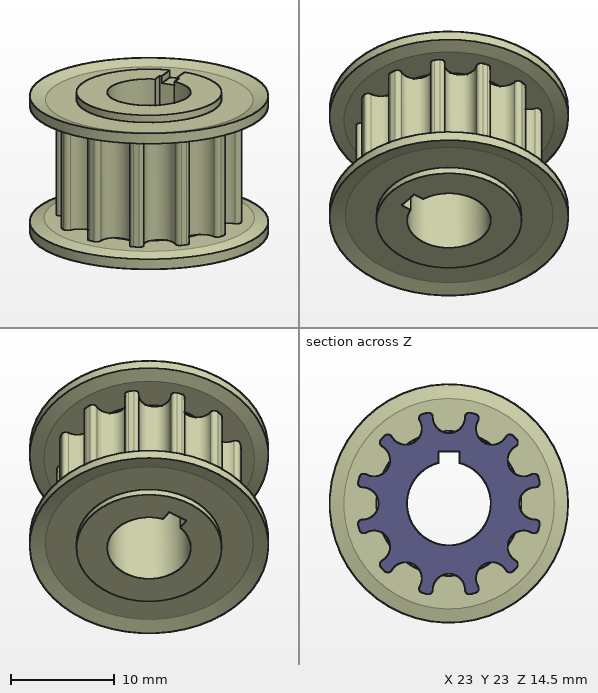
import cadquery as cq
import math

total_height = 14.5
flange_radius = 11.5
hub_radius = 7.0

belt_width = 11.0
sheet_thickness = 1.01
bend_radius = 10.0
rim_angle = math.radians(15)

tooth_count = 12
tip_radius = 9.0
groove_root_radius = 6.78
groove_arc_radius = 1.55
tip_fillet_radius = 0.44

bore_radius = 4.02
keyway_width = 2.0
keyway_top = 5.0
mark_slot_width = 1.55

belt_half_width = belt_width / 2
hub_rise = total_height / 2 - belt_half_width - sheet_thickness
pitch_angle = 2 * math.pi / tooth_count


def polar(radius, angle):
    return (radius * math.cos(angle), radius * math.sin(angle))


def toward(start, end, distance):
    """Point at a distance from start on the line to end."""
    span = math.dist(start, end)
    return tuple(a + (b - a) * distance / span for a, b in zip(start, end))


def fillet_center_offset(fillet_center_radius, groove_center_radius):
    """Angle between the centers of a groove and of the tip fillet that touches it."""
    center_distance = groove_arc_radius + tip_fillet_radius
    cosine = (fillet_center_radius ** 2 + groove_center_radius ** 2 - center_distance ** 2) / (
        2 * fillet_center_radius * groove_center_radius)
    return math.acos(cosine)


def fillet_middle(center, first, last):
    """Middle of the tip fillet arc between its two ends."""
    chord_middle = tuple((a + b) / 2 for a, b in zip(first, last))
    return toward(center, chord_middle, tip_fillet_radius)


def make_toothed_bar():
    """Toothed section between the flanges: round grooves blended into rounded tooth tips."""
    groove_center_radius = groove_root_radius + groove_arc_radius
    fillet_center_radius = tip_radius - tip_fillet_radius
    fillet_offset = fillet_center_offset(fillet_center_radius, groove_center_radius)

    outline = cq.Workplane("XY", origin=(0, 0, -belt_half_width))
    outline = outline.moveTo(*polar(tip_radius, -fillet_offset))
    for index in range(tooth_count):
        groove_angle = index * pitch_angle
        groove_center = polar(groove_center_radius, groove_angle)
        fillet_before = polar(fillet_center_radius, groove_angle - fillet_offset)
        fillet_after = polar(fillet_center_radius, groove_angle + fillet_offset)
        groove_start = toward(groove_center, fillet_before, groove_arc_radius)
        groove_end = toward(groove_center, fillet_after, groove_arc_radius)
        tip_end = polar(tip_radius, groove_angle - fillet_offset)
        tip_start = polar(tip_radius, groove_angle + fillet_offset)

        outline = (
            outline
            .threePointArc(fillet_middle(fillet_before, tip_end, groove_start), groove_start)
            .threePointArc(polar(groove_root_radius, groove_angle), groove_end)
            .threePointArc(fillet_middle(fillet_after, groove_end, tip_start), tip_start)
            .threePointArc(
                polar(tip_radius, groove_angle + pitch_angle / 2),
                polar(tip_radius, groove_angle + pitch_angle - fillet_offset),
            )
        )
    return outline.close().extrude(belt_width)


def make_hub_end(side):
    """Round hub end that carries a flange; side is 1 for the upper end and -1 for the lower."""
    return (
        cq.Workplane("XY", origin=(0, 0, side * belt_half_width))
        .circle(hub_radius)
        .extrude(side * (sheet_thickness + hub_rise))
    )


def make_bore():
    """Bore with its keyway on the +Y side, through the full height."""
    base = cq.Workplane("XY", origin=(0, 0, -total_height / 2))
    bore = base.circle(bore_radius).extrude(total_height)
    keyway = base.center(0, keyway_top / 2).rect(keyway_width, keyway_top).extrude(total_height)
    return bore.union(keyway)


def make_mark_slot():
    """Slot above the keyway, from the bore out past the hub edge, down to the flange face level."""
    return (
        cq.Workplane("XY", origin=(0, flange_radius / 2, total_height / 2))
        .rect(mark_slot_width, flange_radius)
        .extrude(-hub_rise)
    )


def make_pulley():
    body = make_toothed_bar().union(make_hub_end(1)).union(make_hub_end(-1))
    return body.cut(make_bore()).cut(make_mark_slot())


def make_flange(side):
    """Sheet ring around a hub end, with its rim bent away from the belt."""
    inner_bend_radius = bend_radius + sheet_thickness * math.tan(rim_angle / 2)
    inner_face = belt_half_width
    outer_face = belt_half_width + sheet_thickness
    inner_rim = inner_face + (flange_radius - inner_bend_radius) * math.tan(rim_angle)
    outer_rim = outer_face + (flange_radius - bend_radius) * math.tan(rim_angle)
    profile = [
        (hub_radius, side * inner_face),
        (inner_bend_radius, side * inner_face),
        (flange_radius, side * inner_rim),
        (flange_radius, side * outer_rim),
        (bend_radius, side * outer_face),
        (hub_radius, side * outer_face),
    ]
    return cq.Workplane("XZ").polyline(profile).close().revolve(360, (0, 0, 0), (0, 1, 0))


pulley = make_pulley()
flanges = [make_flange(side) for side in (1, -1)]

result = cq.Compound.makeCompound([pulley.val(), *[flange.val() for flange in flanges]])